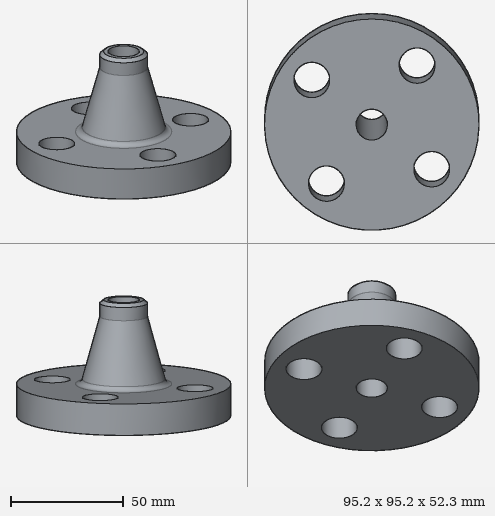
import cadquery as cq
import math

flange_diameter = 95.25
flange_thickness = 14.3
overall_height = 52.32

bolt_hole_count = 4
bolt_hole_diameter = 15.9
bolt_circle_diameter = 66.7

hub_base_diameter = 38.1
hub_fillet_radius = 3.0
neck_diameter = 21.3
neck_length = 7.5
bore_diameter = 13.84

bevel_width = 1.75
bevel_height = 1.5

flange_radius = flange_diameter / 2
neck_radius = neck_diameter / 2
hub_base_radius = hub_base_diameter / 2
neck_start_height = overall_height - neck_length


def hub_fillet_points():
    """Start, middle and end (radius, height) of the arc joining the flange face to the cone."""
    cone_run = hub_base_radius - neck_radius
    cone_rise = neck_start_height - flange_thickness
    lean = math.atan2(cone_run, cone_rise)
    corner_angle = math.pi / 2 + lean
    tangent_length = hub_fillet_radius / math.tan(corner_angle / 2)

    centre_radius = hub_base_radius + tangent_length
    centre_height = flange_thickness + hub_fillet_radius
    sweep = math.pi - corner_angle

    def on_arc(angle):
        return (
            centre_radius - hub_fillet_radius * math.sin(angle),
            centre_height - hub_fillet_radius * math.cos(angle),
        )

    return on_arc(0), on_arc(sweep / 2), on_arc(sweep)


def make_turned_body():
    """Flange, filleted conical hub and bevelled neck as one revolved outline."""
    fillet_start, fillet_middle, fillet_end = hub_fillet_points()
    outline = (
        cq.Workplane("XZ")
        .lineTo(flange_radius, 0)
        .lineTo(flange_radius, flange_thickness)
        .lineTo(*fillet_start)
        .threePointArc(fillet_middle, fillet_end)
        .lineTo(neck_radius, neck_start_height)
        .lineTo(neck_radius, overall_height - bevel_height)
        .lineTo(neck_radius - bevel_width, overall_height)
        .lineTo(0, overall_height)
        .close()
    )
    return outline.revolve(360, (0, 0, 0), (0, 1, 0))


def make_bore():
    return cq.Workplane("XY").circle(bore_diameter / 2).extrude(overall_height)


def make_bolt_holes():
    return (
        cq.Workplane("XY")
        .polarArray(bolt_circle_diameter / 2, 0, 360, bolt_hole_count)
        .circle(bolt_hole_diameter / 2)
        .extrude(flange_thickness)
    )


result = make_turned_body().cut(make_bore()).cut(make_bolt_holes())